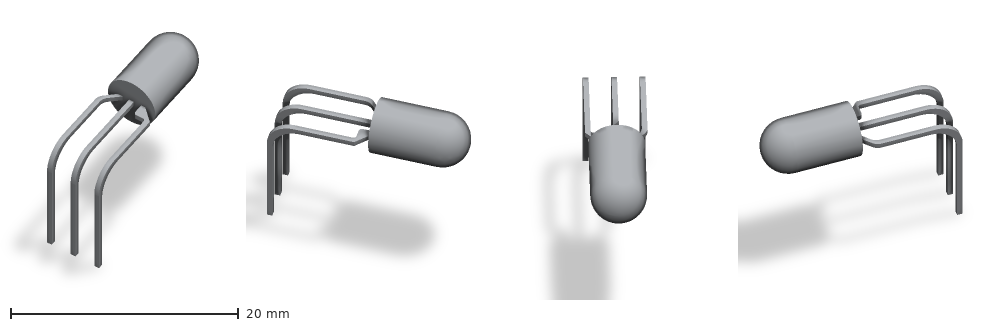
import cadquery as cq

body_diameter = 5.0
body_radius = body_diameter / 2
body_length = 6.1

overall_width = 5.5
overall_length = 17.8
overall_height = 14.0
lead_size = 0.5
lead_top = lead_size / 2
bend_radius = 2.5
lead_back = body_length + body_radius - overall_length
lead_bottom = body_radius - overall_height

outer_edge = overall_width / 2
inner_edge = outer_edge - lead_size
splay_end = -1.21
outer_root = 1.46
inner_root = 0.93
splay_radius = 1.0

tab_edge = 1.01
tab_corner_radius = 0.3
tab_inner_radius = 0.23


def make_body():
    """Revolve the half outline of the domed lens about the Y axis."""
    tip = body_length + body_radius
    dome_mid = body_radius * 0.5 ** 0.5
    return (
        cq.Workplane("XY")
        .lineTo(body_radius, 0)
        .lineTo(body_radius, body_length)
        .threePointArc((dome_mid, body_length + dome_mid), (0, tip))
        .close()
        .revolve(360, (0, 0), (0, 1))
    )


def make_bent_strip():
    """Side profile shared by all leads, extruded over the full width."""
    return (
        cq.Workplane("YZ")
        .moveTo(0, lead_top)
        .lineTo(lead_back + bend_radius, lead_top)
        .radiusArc((lead_back, lead_top - bend_radius), -bend_radius)
        .lineTo(lead_back, lead_bottom)
        .lineTo(lead_back + lead_size, lead_bottom)
        .lineTo(lead_back + lead_size, lead_top - lead_size - bend_radius)
        .radiusArc((lead_back + lead_size + bend_radius, lead_top - lead_size), bend_radius)
        .lineTo(0, lead_top - lead_size)
        .close()
        .extrude(overall_width / 2, both=True)
    )


def extrude_plan(points):
    """Extrude a plan outline through the full height of the leads."""
    return (
        cq.Workplane("XY", origin=(0, 0, lead_bottom))
        .polyline(points)
        .close()
        .extrude(lead_top - lead_bottom)
    )


def round_edge(plan, x, y, radius):
    """Fillet the vertical edge of a plan prism nearest to (x, y)."""
    mid_height = (lead_top + lead_bottom) / 2
    return plan.edges("|Z").edges(cq.selectors.NearestToPointSelector((x, y, mid_height))).fillet(radius)


def splayed_plan():
    """Plan of the -X lead, which slants inward to the body."""
    plan = extrude_plan([
        (-outer_root, 0),
        (-outer_edge, splay_end),
        (-outer_edge, lead_back),
        (-inner_edge, lead_back),
        (-inner_edge, splay_end),
        (-inner_root, 0),
    ])
    for x in (-outer_edge, -inner_edge):
        plan = round_edge(plan, x, splay_end, splay_radius)
    return plan


def straight_plan():
    """Plan of the middle lead."""
    half = lead_size / 2
    return extrude_plan([(-half, 0), (-half, lead_back), (half, lead_back), (half, 0)])


def tabbed_plan():
    """Plan of the +X lead, which widens into a tab at the body."""
    plan = extrude_plan([
        (outer_root, 0),
        (outer_edge, splay_end),
        (outer_edge, lead_back),
        (inner_edge, lead_back),
        (inner_edge, splay_end),
        (tab_edge, splay_end),
        (tab_edge, 0),
    ])
    plan = round_edge(plan, tab_edge, splay_end, tab_corner_radius)
    return round_edge(plan, inner_edge, splay_end, tab_inner_radius)


result = make_body()
for lead_plan in (splayed_plan(), straight_plan(), tabbed_plan()):
    result = result.union(make_bent_strip().intersect(lead_plan))